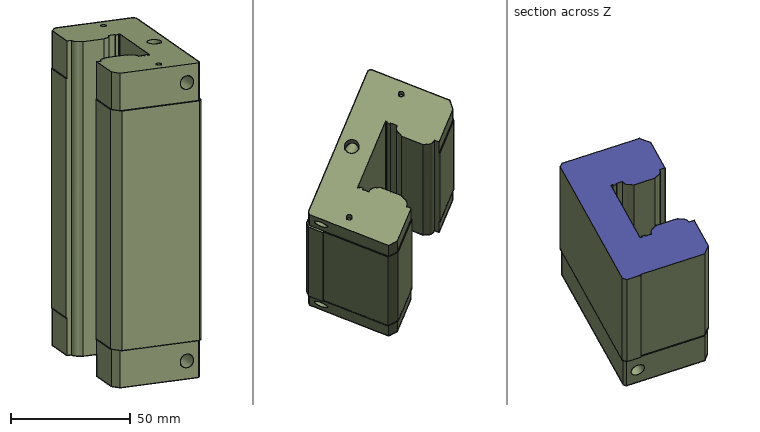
import cadquery as cq
import math

LENGTH = 138.5
BODY_WIDTH = 70.0
BODY_DEPTH = 40.4
CAP_LENGTH = 16.5
BODY_LENGTH = LENGTH - 2 * CAP_LENGTH

BODY_BACK_CHAMFER = 1.5
BODY_FRONT_CHAMFER = 3.6
FRONT_HALF_WIDTH = 31.0
RELIEF_DEPTH = 0.4
REFERENCE_EDGE_Y = 12.2

CAP_WIDTH = 68.4
CAP_BACK_Y = 19.6
CAP_FRONT_Y = -19.8
CAP_BACK_CHAMFER = 1.0
CAP_FRONT_CHAMFER = 2.6

SLOT_HALF_WIDTH = 15.6
SLOT_ROOF_Y = 4.4
LIP_HALF_WIDTH = 15.1
LIP_TOP_Y = 3.7
LIP_BOTTOM_Y = 2.1
NOSE_CENTER_Y = -9.2
NOSE_HALF_HEIGHT = 8.5
NOSE_HALF_GAP = 12.0
NOSE_FACE_HALF_HEIGHT = 4.85
NOSE_BEVEL_WIDTH = 0.75
NOSE_BEVEL_HEIGHT = 1.25

PORT_DIAMETER = 6.0
PORT_Y = 13.4
PORT_FROM_END = 8.0

SCREW_HOLE_DIAMETER = 2.4
SCREW_HOLE_X = 29.0
SCREW_HOLE_Y = 2.8
SCREW_HOLE_DEPTH = 5.0
DRILL_POINT_ANGLE = 118.0


def outline_prism(half_width, back_y, front_y, back_chamfer, front_chamfer, length):
    """Rectangle with chamfered corners, extruded along Z; the front corners end at FRONT_HALF_WIDTH."""
    right_side = [
        (FRONT_HALF_WIDTH, front_y),
        (half_width, front_y + front_chamfer),
        (half_width, back_y - back_chamfer),
        (half_width - back_chamfer, back_y),
    ]
    left_side = [(-x, y) for x, y in reversed(right_side)]
    bottom_plane = cq.Workplane("XY", origin=(0, 0, -length / 2))
    return bottom_plane.polyline(right_side + left_side).close().extrude(length)


def make_body():
    half_width = BODY_WIDTH / 2
    half_depth = BODY_DEPTH / 2
    body = outline_prism(
        half_width, half_depth, -half_depth, BODY_BACK_CHAMFER, BODY_FRONT_CHAMFER, BODY_LENGTH
    )
    relief = cq.Workplane("XY").box(
        RELIEF_DEPTH, REFERENCE_EDGE_Y + half_depth, BODY_LENGTH, centered=(False, False, True)
    )
    return body.cut(relief.translate((-half_width, -half_depth, 0)))


def make_cap_stock():
    """Both caps as one prism over the full length; its middle lies inside the body."""
    return outline_prism(
        CAP_WIDTH / 2, CAP_BACK_Y, CAP_FRONT_Y, CAP_BACK_CHAMFER, CAP_FRONT_CHAMFER, LENGTH
    )


def half_slot(side):
    """Half of the rail slot; side is -1 or +1 along X."""
    bevel_x = NOSE_HALF_GAP + NOSE_BEVEL_WIDTH
    bevel_half_height = NOSE_FACE_HALF_HEIGHT + NOSE_BEVEL_HEIGHT
    round_width = SLOT_HALF_WIDTH - bevel_x
    round_height = NOSE_HALF_HEIGHT - bevel_half_height
    round_radius = (round_width**2 + round_height**2) / (2 * round_height)

    def wall_point(x, y):
        return (side * x, y)

    def nose_point(x, height):
        return (side * x, NOSE_CENTER_Y + height)

    return (
        cq.Workplane("XY", origin=(0, 0, -LENGTH / 2))
        .moveTo(0, SLOT_ROOF_Y)
        .lineTo(*wall_point(SLOT_HALF_WIDTH, SLOT_ROOF_Y))
        .lineTo(*wall_point(SLOT_HALF_WIDTH, LIP_TOP_Y))
        .lineTo(*wall_point(LIP_HALF_WIDTH, LIP_TOP_Y))
        .lineTo(*wall_point(LIP_HALF_WIDTH, LIP_BOTTOM_Y))
        .lineTo(*wall_point(SLOT_HALF_WIDTH, LIP_BOTTOM_Y))
        .lineTo(*nose_point(SLOT_HALF_WIDTH, NOSE_HALF_HEIGHT))
        .radiusArc(nose_point(bevel_x, bevel_half_height), -side * round_radius)
        .lineTo(*nose_point(NOSE_HALF_GAP, NOSE_FACE_HALF_HEIGHT))
        .lineTo(*nose_point(NOSE_HALF_GAP, -NOSE_FACE_HALF_HEIGHT))
        .lineTo(*nose_point(bevel_x, -bevel_half_height))
        .radiusArc(nose_point(SLOT_HALF_WIDTH, -NOSE_HALF_HEIGHT), -side * round_radius)
        .lineTo(*wall_point(SLOT_HALF_WIDTH, -BODY_DEPTH / 2))
        .lineTo(0, -BODY_DEPTH / 2)
        .close()
        .extrude(LENGTH)
    )


def screw_hole(x, end):
    """Blind hole with a conical drill point, cut inward from one end face."""
    radius = SCREW_HOLE_DIAMETER / 2
    tip_height = radius / math.tan(math.radians(DRILL_POINT_ANGLE / 2))
    end_z = end * LENGTH / 2
    profile = [
        (0, end_z),
        (radius, end_z),
        (radius, end_z - end * SCREW_HOLE_DEPTH),
        (0, end_z - end * (SCREW_HOLE_DEPTH + tip_height)),
    ]
    hole = cq.Workplane("XZ").polyline(profile).close().revolve(360, (0, 0, 0), (0, 1, 0))
    return hole.translate((x, SCREW_HOLE_Y, 0))


def cap_holes(end):
    """Holes of one cap; end is -1 or +1 along Z."""
    end_z = end * LENGTH / 2
    port_z = end_z - end * PORT_FROM_END
    end_plane = cq.Workplane("XY", origin=(0, 0, end_z))
    cross_plane = cq.Workplane("YZ").center(PORT_Y, port_z)
    cross_port = cross_plane.circle(PORT_DIAMETER / 2).extrude(BODY_WIDTH / 2, both=True)
    end_port = end_plane.center(0, PORT_Y).circle(PORT_DIAMETER / 2).extrude(-end * PORT_FROM_END)
    holes = cross_port.union(end_port)
    for side in (-1, 1):
        holes = holes.union(screw_hole(side * SCREW_HOLE_X, end))
    return holes


carriage = make_body().union(make_cap_stock())
for side in (-1, 1):
    carriage = carriage.cut(half_slot(side))
for end in (-1, 1):
    carriage = carriage.cut(cap_holes(end))

result = carriage